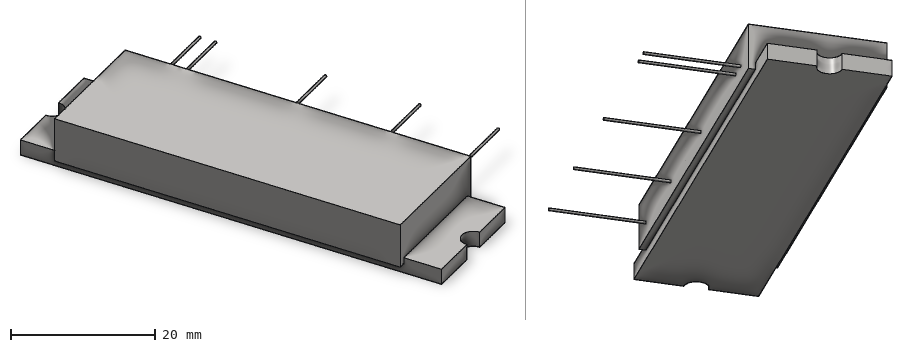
import cadquery as cq

flange_length = 67.0
flange_width = 18.0
flange_thickness = 2.5
notch_diameter = 3.6

overall_height = 8.5
cap_length = 55.0
cap_width = 20.0
cap_bottom_z = 1.5

lead_diameter = 0.4
lead_length = 14.0
lead_z = 3.9
lead_pitch = 2.5
lead_steps = (0, 1, 8, 14, 19)
first_lead_inset = 4.0


def make_flange():
    """Flat plate with a half-round screw notch in the middle of each end."""
    plate = cq.Workplane("XY").box(
        flange_length, flange_width, flange_thickness, centered=(True, True, False)
    )
    notches = (
        cq.Workplane("XY")
        .pushPoints([(-flange_length / 2, 0), (flange_length / 2, 0)])
        .circle(notch_diameter / 2)
        .extrude(flange_thickness)
    )
    return plate.cut(notches)


def make_cap():
    """Rectangular cap whose lower edge reaches below the flange's top face."""
    return (
        cq.Workplane("XY")
        .workplane(offset=cap_bottom_z)
        .rect(cap_length, cap_width)
        .extrude(overall_height - cap_bottom_z)
    )


def make_lead(x):
    """Straight round lead starting on the cap's +Y face."""
    start = cq.Vector(x, cap_width / 2, lead_z)
    return cq.Solid.makeCylinder(lead_diameter / 2, lead_length, start, cq.Vector(0, 1, 0))


result = make_flange().union(make_cap())
first_lead_x = -cap_length / 2 + first_lead_inset
for step in lead_steps:
    result = result.union(make_lead(first_lead_x + step * lead_pitch))